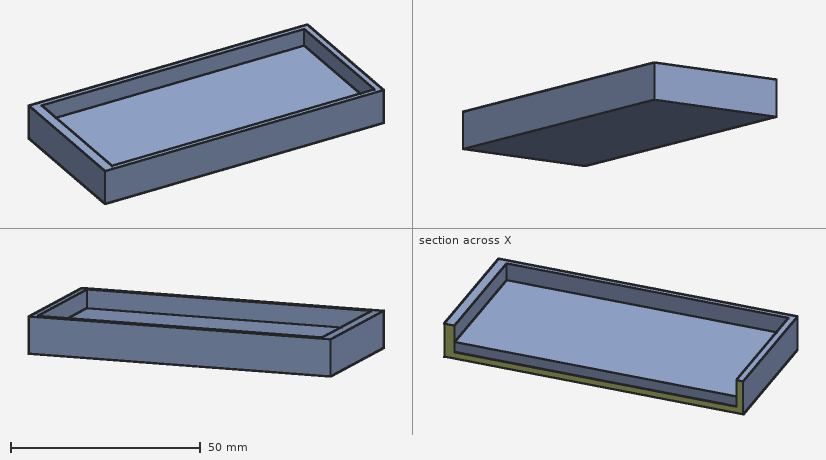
import cadquery as cq

WIDTH = 40.0
LENGTH = 85.0
HEIGHT = 10.0

LEFT_WALL = 1.7
RIGHT_WALL = 1.5
BACK_WALL = 1.95
FRONT_WALL = 3.0

FLOOR_THICKNESS = 2.0
PANEL_TOP_DEPTH = 5.0
PANEL_SIDE_GAP = 0.2

RECESS_WIDTH = WIDTH - LEFT_WALL - RIGHT_WALL
RECESS_LENGTH = LENGTH - FRONT_WALL - BACK_WALL
PANEL_WIDTH = RECESS_WIDTH - PANEL_SIDE_GAP
PANEL_THICKNESS = HEIGHT - FLOOR_THICKNESS - PANEL_TOP_DEPTH


def corner_box(width, length, height, corner):
    """Box whose lowest X, Y and Z corner sits at the given point."""
    return cq.Workplane("XY").box(width, length, height, centered=False).translate(corner)


RECESS_CORNER = (LEFT_WALL, FRONT_WALL, FLOOR_THICKNESS)


def make_tray():
    """Open-topped tray with a different thickness for each wall."""
    recess = corner_box(RECESS_WIDTH, RECESS_LENGTH, HEIGHT - FLOOR_THICKNESS, RECESS_CORNER)
    return corner_box(WIDTH, LENGTH, HEIGHT, (0, 0, 0)).cut(recess)


def make_panel():
    """Flat panel on the tray floor, leaving a narrow gap at the +X wall."""
    return corner_box(PANEL_WIDTH, RECESS_LENGTH, PANEL_THICKNESS, RECESS_CORNER)


tray = make_tray()
panel = make_panel()

result = cq.Compound.makeCompound([tray.val(), panel.val()])